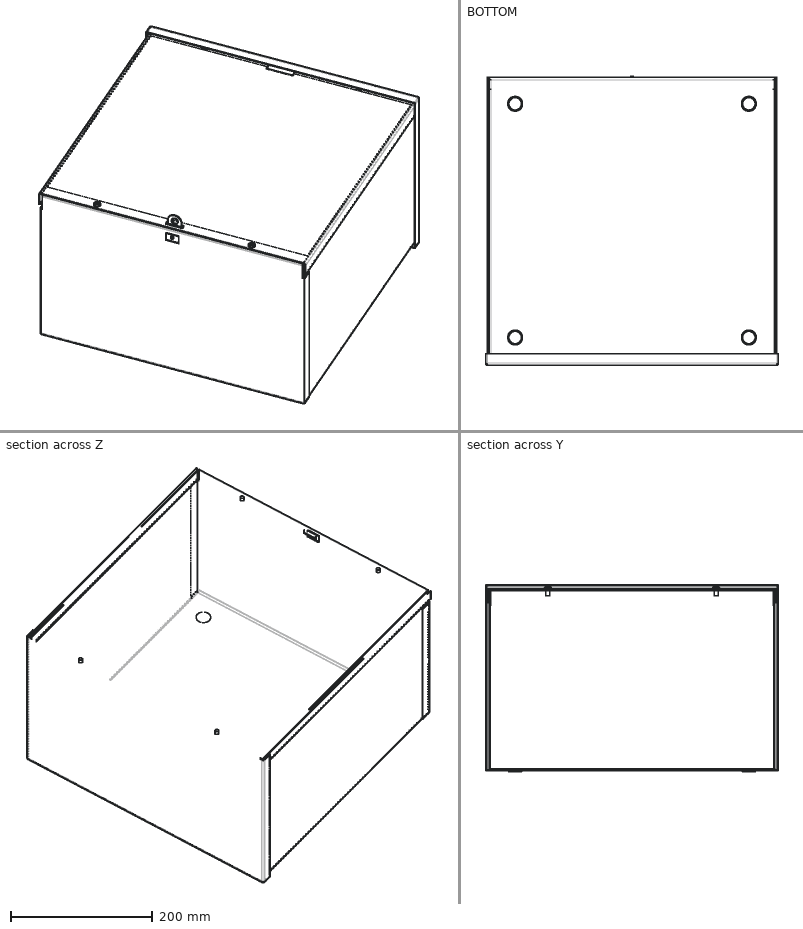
import cadquery as cq

sheet = 1.5

hood_width = 414.5
hood_back = 204.5
hood_depth = 16.5
hood_bottom = 1.2
hood_top = 264.5
hood_bend = 3.5
hood_corner = 2.0

lid_width = 410.0
box_width = lid_width - 2 * sheet
box_back = hood_back - hood_bend
box_front = -203.0
box_bottom = hood_bottom + sheet
floor_bend = 2.5
side_bend = 2.0
front_bend = 3.7
side_width = box_width - 2 * sheet
lid_top = 259.0
panel_top = lid_top - sheet
rear_rail_front = 189.8
shoulder_top = 237.0
shoulder_step = 1.0
upper_side_width = side_width - 2 * shoulder_step
side_flange_depth = 17.5
side_flange_top = 231.0
panel_upper_width = 400.2
top_flange_depth = 18.5

foot_spacing = 330.5
foot_small_diameter = 18.0
foot_large_diameter = 20.7

lid_bend = 3.0
skirt_bottom = 238.5
notch_width = 40.0
notch_front = 184.5

eye_y = -194.0
eye_width = 20.7
eye_hole_diameter = 9.5
eye_top = 275.5
eye_bottom = 248.5
eye_slot_length = 26.0
eye_slot_width = 5.5

latch_width = 19.5
latch_height = 12.5
latch_bottom = 234.5
stud_diameter = 4.0
stud_z = 242.5
stud_tip = -204.3

screw_x_spacing = 238.0
screw_y_spacing = 389.5
screw_head_diameter = 10.0
screw_head_height = 1.5
screw_head_round = 1.2
screw_shank_diameter = 6.0
screw_length = 10.0
drive_diameter = 4.0
drive_depth = 1.0

screw_places = [
    (x, y)
    for x in (-screw_x_spacing / 2, screw_x_spacing / 2)
    for y in (-screw_y_spacing / 2, screw_y_spacing / 2)
]


def block(width, y_front, y_back, z_bottom, z_top):
    """A box centred on X = 0 between the given Y and Z limits."""
    return (
        cq.Workplane("XY", origin=(0, y_front, z_bottom))
        .box(width, y_back - y_front, z_top - z_bottom, centered=(True, False, False))
    )


def make_hood():
    front = hood_back - hood_depth
    outer = (
        block(hood_width, front, hood_back, hood_bottom, hood_top)
        .edges("|Y").fillet(hood_corner)
        .faces(">Y").edges().fillet(hood_bend)
    )
    inner = (
        block(hood_width - 2 * sheet, front, hood_back - sheet, box_bottom, hood_top - sheet)
        .edges("|Y").fillet(hood_corner - sheet)
        .faces(">Y").edges().fillet(hood_bend - sheet)
    )
    return outer.cut(inner)


def make_front_panel():
    """Front sheet with folded top and side flanges, open towards the rear."""
    inside = box_front + sheet
    inner_bend = front_bend - sheet
    lower = (
        block(box_width, box_front, box_front + side_flange_depth, box_bottom, side_flange_top)
        .edges("|Z and <Y").fillet(side_bend)
        .edges("<Z and |X and <Y").fillet(front_bend)
    )
    lower_inside = (
        block(side_width, inside, box_back, box_bottom + sheet, side_flange_top)
        .edges("<Z and <Y").fillet(inner_bend)
    )
    upper = (
        block(panel_upper_width, box_front, box_front + top_flange_depth, side_flange_top, panel_top)
        .edges(">Z and <Y").fillet(front_bend)
    )
    upper_inside = (
        block(panel_upper_width, inside, box_back, side_flange_top, panel_top - sheet)
        .edges(">Z and <Y").fillet(inner_bend)
    )
    return lower.cut(lower_inside).union(upper.cut(upper_inside))


def make_feet():
    cone = (
        cq.Workplane("XY").circle(foot_small_diameter / 2)
        .workplane(offset=box_bottom).circle(foot_large_diameter / 2)
        .loft()
    )
    half = foot_spacing / 2
    return [cone.translate((x, y, 0)) for x in (-half, half) for y in (-half, half)]


def make_tray():
    """Floor and two sides, open at the front, rear and top."""
    front = box_front + front_bend
    tray = (
        block(side_width, front, box_back, box_bottom, shoulder_top)
        .edges("|Y and <Z").fillet(floor_bend)
        .union(block(upper_side_width, front, box_back, shoulder_top, panel_top))
    )
    lower_room = (
        block(side_width - 2 * sheet, front, box_back, box_bottom + sheet, shoulder_top - sheet)
        .edges("|Y and <Z").fillet(floor_bend - sheet)
    )
    upper_room = block(upper_side_width - 2 * sheet, front, box_back, shoulder_top - sheet, panel_top)
    return tray.cut(lower_room).cut(upper_room)


def make_rear_rail():
    """Strip across the rear under the lid, with a tongue below the lid notch."""
    rail = block(upper_side_width, rear_rail_front, box_back, panel_top - sheet, panel_top)
    tongue = block(notch_width, notch_front, box_back, panel_top - sheet, panel_top)
    return rail.union(tongue)


def make_box():
    box = make_tray().union(make_front_panel()).union(make_rear_rail())
    for foot in make_feet():
        box = box.union(foot)
    return box.cut(latch_window()).cut(eye_blank()).cut(screw_shanks())


def make_lid():
    lid = (
        block(lid_width, box_front, box_back, skirt_bottom, lid_top)
        .edges("|Y and >Z").fillet(lid_bend)
    )
    inner = (
        block(box_width, box_front, box_back, skirt_bottom, panel_top)
        .edges("|Y and >Z").fillet(lid_bend - sheet)
    )
    notch = block(notch_width, notch_front, box_back, skirt_bottom, lid_top)
    slot = block(
        eye_slot_length, eye_y - eye_slot_width / 2, eye_y + eye_slot_width / 2, skirt_bottom, lid_top
    )
    return lid.cut(inner).cut(notch).cut(slot).cut(screw_shanks())


def eye_blank():
    """The eye without its hole."""
    radius = eye_width / 2
    centre_z = eye_top - radius
    return (
        cq.Workplane("XZ", origin=(0, eye_y + sheet / 2, 0))
        .moveTo(-radius, eye_bottom).lineTo(radius, eye_bottom).lineTo(radius, centre_z)
        .threePointArc((0, eye_top), (-radius, centre_z))
        .close().extrude(sheet)
    )


def make_eye():
    hole = (
        cq.Workplane("XZ", origin=(0, eye_y + sheet / 2, eye_top - eye_width / 2))
        .circle(eye_hole_diameter / 2).extrude(sheet)
    )
    return eye_blank().cut(hole)


def latch_window():
    """The opening in the front panel that the latch plate fills."""
    return block(latch_width, box_front, box_front + sheet, latch_bottom, latch_bottom + latch_height)


def make_latch_plate():
    stud = (
        cq.Workplane("XZ", origin=(0, box_front, stud_z))
        .circle(stud_diameter / 2).extrude(box_front - stud_tip)
    )
    return latch_window().union(stud)


def screw_shanks():
    """All four shanks, to cut their holes."""
    return (
        cq.Workplane("XY", origin=(0, 0, lid_top)).pushPoints(screw_places)
        .circle(screw_shank_diameter / 2).extrude(-screw_length)
    )


def make_screw(x, y):
    base = cq.Workplane("XY", origin=(x, y, lid_top))
    head = (
        base.circle(screw_head_diameter / 2).extrude(screw_head_height)
        .faces(">Z").edges().fillet(screw_head_round)
    )
    shank = base.circle(screw_shank_diameter / 2).extrude(-screw_length)
    drive = (
        base.workplane(offset=screw_head_height - drive_depth)
        .circle(drive_diameter / 2).extrude(drive_depth)
    )
    return head.union(shank).cut(drive)


box = make_box()
hood = make_hood()
lid = make_lid()
eye = make_eye()
latch_plate = make_latch_plate()
screws = [make_screw(x, y) for x, y in screw_places]

result = cq.Compound.makeCompound(
    [box.val(), hood.val(), lid.val(), eye.val(), latch_plate.val()] + [s.val() for s in screws]
)